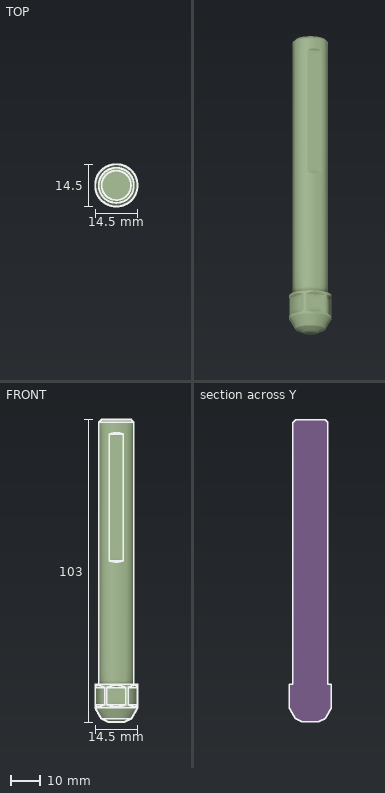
import cadquery as cq

total_length = 103.0
head_top = 13.0
head_rim = 4.87
head_diameter = 14.5

shaft_diameter = 12.0
shaft_chamfer = 1.0

tip_flat_diameter = 5.2
nose_break_diameter = 10.3
nose_break_height = 1.2

hex_across_flats = 13.0
hex_bottom = 6.0
hex_top = 11.8
hex_sides = 6

shaft_across_flats = 11.0
shaft_flat_bottom = 55.0
shaft_flat_top = 98.0
shaft_flat_sides = 2

front_angle = -90.0


def pin_body():
    """Turned body: double-cone nose, head and chamfered shaft."""
    head_r = head_diameter / 2
    shaft_r = shaft_diameter / 2
    profile = (
        cq.Workplane("XZ")
        .lineTo(tip_flat_diameter / 2, 0)
        .lineTo(nose_break_diameter / 2, nose_break_height)
        .lineTo(head_r, head_rim)
        .lineTo(head_r, head_top)
        .lineTo(shaft_r, head_top)
        .lineTo(shaft_r, total_length - shaft_chamfer)
        .lineTo(shaft_r - shaft_chamfer, total_length)
        .lineTo(0, total_length)
        .close()
    )
    return profile.revolve(360, (0, 0, 0), (0, 1, 0))


def flat_cutter(across_flats, body_diameter, bottom, top):
    """Cutter for one flat facing +X, its ends sloping outwards at 45 degrees."""
    floor = across_flats / 2
    reach = body_diameter / 2
    run_out = reach - floor
    return (
        cq.Workplane("XZ")
        .moveTo(floor, bottom)
        .lineTo(reach, bottom - run_out)
        .lineTo(reach, top + run_out)
        .lineTo(floor, top)
        .close()
        .extrude(reach, both=True)
    )


def cut_flats(body, cutter, count):
    """Cut evenly spaced flats around Z, the first one facing -Y."""
    for index in range(count):
        angle = front_angle + index * 360 / count
        body = body.cut(cutter.rotate((0, 0, 0), (0, 0, 1), angle))
    return body


hex_cutter = flat_cutter(hex_across_flats, head_diameter, hex_bottom, hex_top)
shaft_cutter = flat_cutter(shaft_across_flats, shaft_diameter, shaft_flat_bottom, shaft_flat_top)

result = pin_body()
result = cut_flats(result, hex_cutter, hex_sides)
result = cut_flats(result, shaft_cutter, shaft_flat_sides)